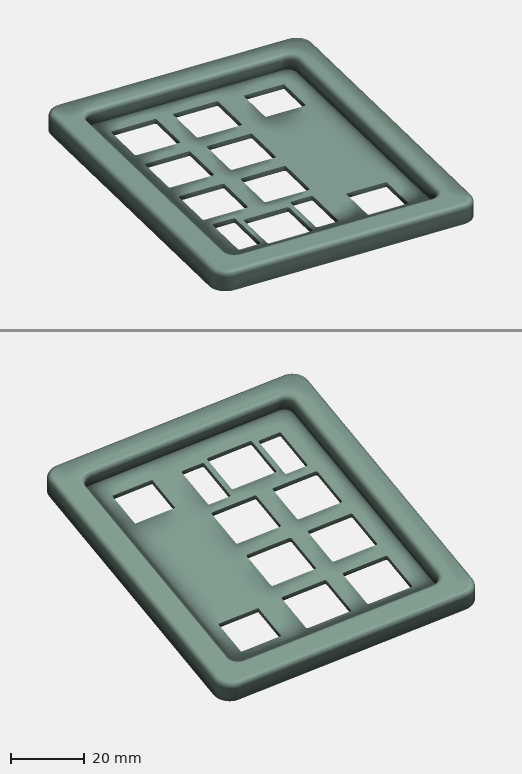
import cadquery as cq

LENGTH = 99.25
WIDTH = 80.76
HEIGHT = 6.0
OUTER_CORNER_RADIUS = 5.0
EDGE_ROUNDING = 1.5

RIM_WIDTH = 8.0
PLATE_THICKNESS = 1.5
RECESS_CORNER_RADIUS = 3.0

KEY_PITCH = 19.05
KEY_OPENING = 14.0
OPENING_CORNER_RADIUS = 0.5
KEY_COLUMNS = 3
KEY_ROWS = 2
GRID_CENTER_X = -10.0
GRID_CENTER_Y = -10.1

TALL_KEY_X = GRID_CENTER_X + 2 * KEY_PITCH
STABILIZER_SPACING = 24.0
STABILIZER_LENGTH = 15.0
STABILIZER_WIDTH = 7.0
STABILIZER_SHIFT_X = -1.5

CORNER_OPENING = 12.5
CORNER_OPENING_X = 28.85
CORNER_OPENING_Y = 20.05


def rounded_block(length, width, height, corner_radius, base_z):
    """Block with rounded vertical edges, centred on the Z axis."""
    block = cq.Workplane("XY").workplane(offset=base_z).rect(length, width).extrude(height)
    return block.edges("|Z").fillet(corner_radius)


def make_frame():
    """Rounded slab with a recess that is open at the top."""
    slab = rounded_block(LENGTH, WIDTH, HEIGHT, OUTER_CORNER_RADIUS, 0)
    recess = rounded_block(
        LENGTH - 2 * RIM_WIDTH,
        WIDTH - 2 * RIM_WIDTH,
        HEIGHT - PLATE_THICKNESS,
        RECESS_CORNER_RADIUS,
        PLATE_THICKNESS,
    )
    return slab.cut(recess).faces(">Z").edges().fillet(EDGE_ROUNDING)


def plate_openings(centers, length, width):
    """Rectangular cutters through the plate at the given centres."""
    return cq.Workplane("XY").pushPoints(centers).rect(length, width).extrude(PLATE_THICKNESS)


def key_openings():
    """Square openings for the key grid and the tall key."""
    centers = [(TALL_KEY_X, GRID_CENTER_Y)]
    for column in range(KEY_COLUMNS):
        for row in range(KEY_ROWS):
            x = GRID_CENTER_X + (column - (KEY_COLUMNS - 1) / 2) * KEY_PITCH
            y = GRID_CENTER_Y + (row - (KEY_ROWS - 1) / 2) * KEY_PITCH
            centers.append((x, y))
    cutters = plate_openings(centers, KEY_OPENING, KEY_OPENING)
    return cutters.edges("|Z").fillet(OPENING_CORNER_RADIUS)


def stabilizer_openings():
    """Openings above and below the tall key."""
    x = TALL_KEY_X + STABILIZER_SHIFT_X
    centers = [(x, GRID_CENTER_Y + side * STABILIZER_SPACING / 2) for side in (-1, 1)]
    cutters = plate_openings(centers, STABILIZER_LENGTH, STABILIZER_WIDTH)
    return cutters.edges("|Z").fillet(OPENING_CORNER_RADIUS)


def corner_openings():
    """Sharp-cornered square openings in the plate's two upper corners."""
    centers = [(side * CORNER_OPENING_X, CORNER_OPENING_Y) for side in (-1, 1)]
    return plate_openings(centers, CORNER_OPENING, CORNER_OPENING)


result = (
    make_frame()
    .cut(key_openings())
    .cut(stabilizer_openings())
    .cut(corner_openings())
)